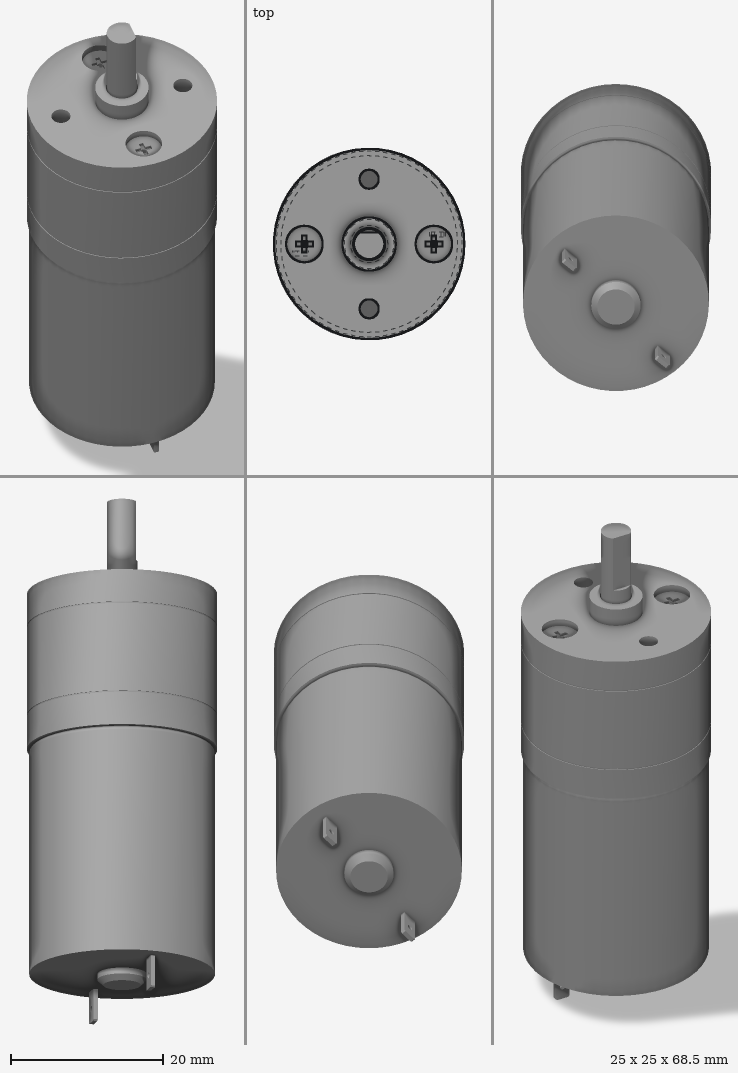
import cadquery as cq

total_height = 68.5
tab_length = 4.3
shaft_length = 12.5
face_height = total_height - tab_length - shaft_length

gearbox_diameter = 25.0
end_plate_thickness = 4.5
ring_gear_length = 12.1
rear_plate_thickness = 4.5
joint_width = 0.2
joint_depth = 0.1

can_diameter = 24.4
can_edge_radius = 0.6

shaft_diameter = 4.0
boss_diameter = 7.0
boss_height = 2.5
boss_bore_diameter = 4.2
boss_bore_depth = 1.0
flat_length = 8.0
flat_distance = 1.5

hole_circle_radius = 8.5
mounting_hole_diameter = 2.5
mounting_hole_depth = 3.0
screw_pocket_diameter = 4.8
screw_pocket_depth = 1.0
cross_span = 2.2
cross_width = 0.6
cross_depth = 0.4
cross_core_diameter = 1.0
cross_core_tip_diameter = 0.4
cross_core_depth = 1.0

bearing_diameter = 6.5
bearing_height = 1.5
bearing_chamfer_height = 0.7
bearing_chamfer_width = 0.8

tab_width = 2.1
tab_thickness = 0.6
tab_corner_chamfer = 0.2
tab_hole_diameter = 0.8
tab_hole_drop = 2.5
tab_offset_x = 9.0
tab_offset_y = 1.25
embed = 0.5


def cylinder(diameter, bottom, top):
    """Cylinder on the motor axis between two heights."""
    return cq.Workplane("XY").workplane(offset=bottom).circle(diameter / 2).extrude(top - bottom)


def joint_groove(height):
    """Shallow ring cut around the gearbox, centred on a height."""
    bottom = height - joint_width / 2
    top = height + joint_width / 2
    core = cylinder(gearbox_diameter - 2 * joint_depth, bottom, top)
    return cylinder(2 * gearbox_diameter, bottom, top).cut(core)


def make_gearbox():
    """Gearbox drum with the two joints between its end plates and ring gear."""
    front_joint = face_height - end_plate_thickness
    rear_joint = front_joint - ring_gear_length
    gearbox_bottom = rear_joint - rear_plate_thickness
    drum = cylinder(gearbox_diameter, gearbox_bottom, face_height)
    for height in (front_joint, rear_joint):
        drum = drum.cut(joint_groove(height))
    return drum, gearbox_bottom


def make_can(top):
    """Motor can with a rounded upper edge."""
    return cylinder(can_diameter, 0, top).edges(">Z").fillet(can_edge_radius)


def make_shaft():
    """D-shaped output shaft, flat on its +Y side."""
    shaft_top = face_height + shaft_length
    shaft = cylinder(shaft_diameter, face_height - embed, shaft_top)
    flat_cut = (
        cq.Workplane("XY")
        .workplane(offset=shaft_top - flat_length)
        .center(0, flat_distance + shaft_diameter / 2)
        .rect(2 * shaft_diameter, shaft_diameter)
        .extrude(flat_length)
    )
    return shaft.cut(flat_cut)


def make_boss():
    """Shaft boss, bored with a clearance around the shaft at its mouth."""
    boss_top = face_height + boss_height
    boss = cylinder(boss_diameter, face_height - embed, boss_top)
    return boss.cut(cylinder(boss_bore_diameter, boss_top - boss_bore_depth, boss_top))


def mounting_hole(y):
    """Blind mounting hole in the output face."""
    hole = cylinder(mounting_hole_diameter, face_height - mounting_hole_depth, face_height)
    return hole.translate((0, y, 0))


def screw_recess(x):
    """Round pocket down to a screw head that has a cross recess with a conical core."""
    floor = face_height - screw_pocket_depth
    cross_bottom = floor - cross_depth
    recess = cylinder(screw_pocket_diameter, floor, face_height)
    core = (
        cq.Workplane("XY")
        .workplane(offset=floor)
        .circle(cross_core_diameter / 2)
        .workplane(offset=-cross_core_depth)
        .circle(cross_core_tip_diameter / 2)
        .loft(ruled=True)
    )
    recess = recess.union(core)
    for length_x, length_y in ((cross_span, cross_width), (cross_width, cross_span)):
        arm = cq.Workplane("XY").workplane(offset=cross_bottom).rect(length_x, length_y).extrude(cross_depth)
        recess = recess.union(arm)
    return recess.translate((x, 0, 0))


def make_bearing():
    """Rear bearing housing with a chamfered lower edge."""
    bearing = cylinder(bearing_diameter, -bearing_height, embed)
    return bearing.faces("<Z").edges().chamfer(bearing_chamfer_height, bearing_chamfer_width)


def make_tab(x, y):
    """Flat terminal tab with clipped lower corners and a wire hole."""
    tab = (
        cq.Workplane("XY")
        .box(tab_width, tab_thickness, tab_length + embed, centered=(True, True, False))
        .translate((0, 0, -tab_length))
        .edges("<Z and |Y")
        .chamfer(tab_corner_chamfer)
    )
    wire_hole = (
        cq.Workplane("XZ")
        .center(0, -tab_hole_drop)
        .circle(tab_hole_diameter / 2)
        .extrude(tab_thickness, both=True)
    )
    return tab.cut(wire_hole).translate((x, y, 0))


gearbox, gearbox_bottom = make_gearbox()
result = gearbox.union(make_can(gearbox_bottom))
result = result.union(make_boss()).union(make_shaft())
result = result.union(make_bearing())
for side in (-1, 1):
    result = result.cut(mounting_hole(side * hole_circle_radius))
    result = result.cut(screw_recess(side * hole_circle_radius))
    result = result.union(make_tab(side * tab_offset_x, side * tab_offset_y))